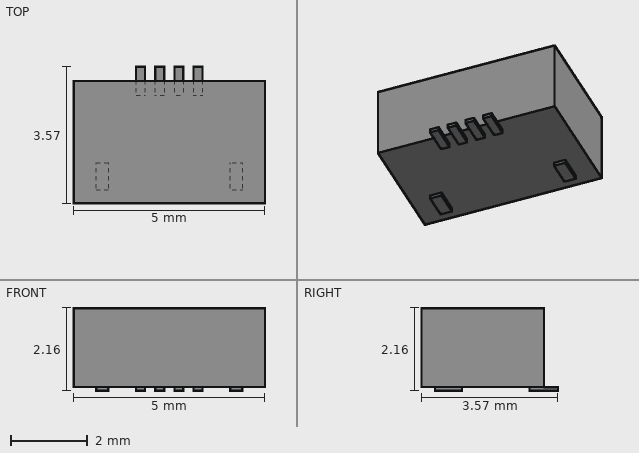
import cadquery as cq

housing_width = 5.0
housing_depth = 3.2
housing_height = 2.06
housing_front = -housing_depth / 2
housing_back = housing_depth / 2

lead_thickness = 0.1

contact_count = 4
contact_pitch = 0.5
contact_width = 0.24
contact_length = 0.75
contact_overhang = 0.37

tab_spacing = 3.5
tab_width = 0.32
tab_length = 0.71
tab_front_inset = 0.35


def make_lead(x_center, y_front, width, length):
    """Flat rectangular lead whose top face touches the underside of the housing."""
    return (
        cq.Workplane("XY")
        .box(width, length, lead_thickness, centered=(True, False, False))
        .translate((x_center, y_front, 0))
    )


housing = (
    cq.Workplane("XY")
    .box(housing_width, housing_depth, housing_height, centered=(True, True, False))
    .translate((0, 0, lead_thickness))
)

contact_front = housing_back + contact_overhang - contact_length
contacts = []
for index in range(contact_count):
    contact_x = (index - (contact_count - 1) / 2) * contact_pitch
    contacts.append(make_lead(contact_x, contact_front, contact_width, contact_length))

tabs = []
for side in (-1, 1):
    tab_x = side * tab_spacing / 2
    tabs.append(make_lead(tab_x, housing_front + tab_front_inset, tab_width, tab_length))

result = cq.Compound.makeCompound(
    [housing.val()]
    + [contact.val() for contact in contacts]
    + [tab.val() for tab in tabs]
)